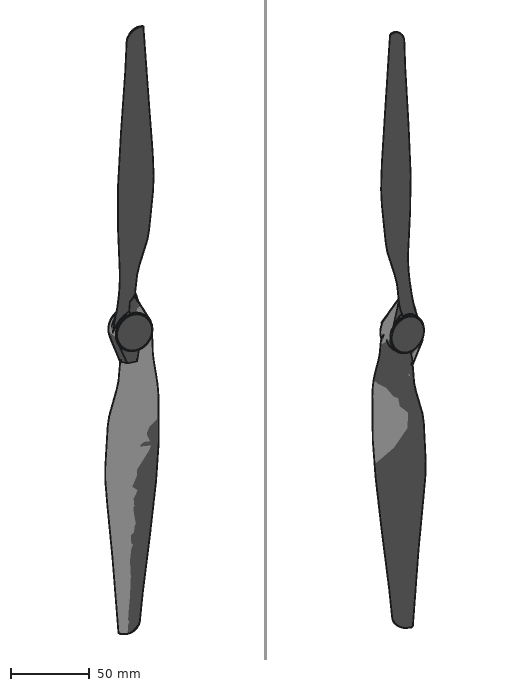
import cadquery as cq
import math


PROP_DIAMETER = 406.25
TIP_RADIUS = PROP_DIAMETER / 2

HUB_RADIUS = 12.8
HUB_LENGTH = 13.4
HUB_CHAMFER = 0.8

BLADE_STATIONS = [
    (0.0, (0.8, 1.5), (8.0, -12.8), 3.0),
    (14.0, (1.5, 3.4), (13.2, -12.7), 3.0),
    (24.0, (2.3, 5.4), (16.6, -12.7), 3.0),
    (32.0, (2.6, 6.1), (19.2, -13.1), 2.8),
    (45.0, (3.0, 9.3), (20.86, -13.5), 2.8),
    (58.0, (3.4, 13.4), (20.3, -13.8), 2.8),
    (80.0, (4.3, 15.6), (18.9, -14.0), 2.6),
    (98.0, (5.2, 16.81), (17.5, -13.4), 2.4),
    (130.0, (6.7, 14.4), (15.4, -10.7), 2.0),
    (150.0, (7.1, 12.75), (14.1, -8.8), 1.8),
    (168.0, (7.35, 11.4), (13.0, -6.9), 1.6),
    (186.0, (7.5, 10.0), (11.9, -5.3), 1.4),
    (TIP_RADIUS, (7.6, 8.6), (10.8, -3.7), 1.2),
]

BELLY_AT_HUB = 4.5
BELLY_MINIMUM = 0.05
BELLY_FADE_RADIUS = 16.0

TIP_FLAT_START_Y = 7.6
TIP_FLAT_END_Y = 4.0
TIP_TRAILING_ROUND_DROP = 1.2
TIP_BEND = (-1.5, TIP_RADIUS - 2.6)
TIP_LEADING_END = (-4.6, TIP_RADIUS - 7.5)
TIP_TRAILING_Y = 9.2
TRIM_HALF_WIDTH = 30.0
TRIM_DEPTH = 30.0
TRIM_SHOULDER = TIP_RADIUS / 2

FAIRING_START = 6.0
FAIRING_END = 23.0
FAIRING_BASE_Y = math.sqrt(HUB_RADIUS**2 - FAIRING_START**2)
FAIRING_BASE_SECTION = [
    (0.0, FAIRING_BASE_Y),
    (HUB_LENGTH, FAIRING_BASE_Y),
    (HUB_LENGTH, -4.0),
    (2.0, 4.0),
]
FAIRING_END_SECTION = [(2.6, 5.1), (7.0, 2.0), (11.2, -2.3), (8.5, -2.3)]


def section_wire(radius, trailing, leading, thickness):
    """Blade section: nearly flat face toward -X, arched face toward +X."""
    chord_x = leading[0] - trailing[0]
    chord_y = leading[1] - trailing[1]
    chord = math.hypot(chord_x, chord_y)

    def above_mid_chord(height):
        x = (trailing[0] + leading[0]) / 2 - chord_y / chord * height
        y = (trailing[1] + leading[1]) / 2 + chord_x / chord * height
        return cq.Vector(x, y, radius)

    belly = BELLY_MINIMUM + BELLY_AT_HUB * math.exp(-((radius / BELLY_FADE_RADIUS) ** 2))
    start = cq.Vector(*trailing, radius)
    end = cq.Vector(*leading, radius)
    flat_face = cq.Edge.makeThreePointArc(start, above_mid_chord(-belly), end)
    arched_face = cq.Edge.makeThreePointArc(end, above_mid_chord(thickness), start)
    return cq.Wire.assembleEdges([flat_face, arched_face])


def tip_trim():
    """Block whose top end has the rounded, raked outline of the blade tip."""
    return (
        cq.Workplane("YZ")
        .moveTo(-TRIM_HALF_WIDTH, 0)
        .lineTo(TRIM_HALF_WIDTH, 0)
        .lineTo(TRIM_HALF_WIDTH, TRIM_SHOULDER)
        .lineTo(TIP_TRAILING_Y, TIP_RADIUS - TIP_TRAILING_ROUND_DROP)
        .lineTo(TIP_FLAT_START_Y, TIP_RADIUS)
        .lineTo(TIP_FLAT_END_Y, TIP_RADIUS)
        .threePointArc(TIP_BEND, TIP_LEADING_END)
        .lineTo(-TRIM_HALF_WIDTH, TRIM_SHOULDER)
        .close()
        .extrude(TRIM_DEPTH)
    )


def make_blade():
    """Upper blade, lofted from the hub axis to the trimmed tip."""
    wires = [section_wire(*station) for station in BLADE_STATIONS]
    blade = cq.Workplane(cq.Solid.makeLoft(wires))
    return blade.intersect(tip_trim())


def make_fairing():
    """Web filling the corner between the hub and the arched face of the blade root."""
    return (
        cq.Workplane("XY", origin=(0, 0, FAIRING_START))
        .polyline(FAIRING_BASE_SECTION)
        .close()
        .workplane(offset=FAIRING_END - FAIRING_START)
        .polyline(FAIRING_END_SECTION)
        .close()
        .loft(ruled=True)
    )


def make_hub():
    """Plain cylindrical hub with broken edges."""
    hub = cq.Workplane("YZ").circle(HUB_RADIUS).extrude(HUB_LENGTH)
    return hub.edges("%CIRCLE").chamfer(HUB_CHAMFER)


result = make_hub()
for angle in (0, 180):
    for piece in (make_blade(), make_fairing()):
        result = result.union(piece.rotate((0, 0, 0), (1, 0, 0), angle))